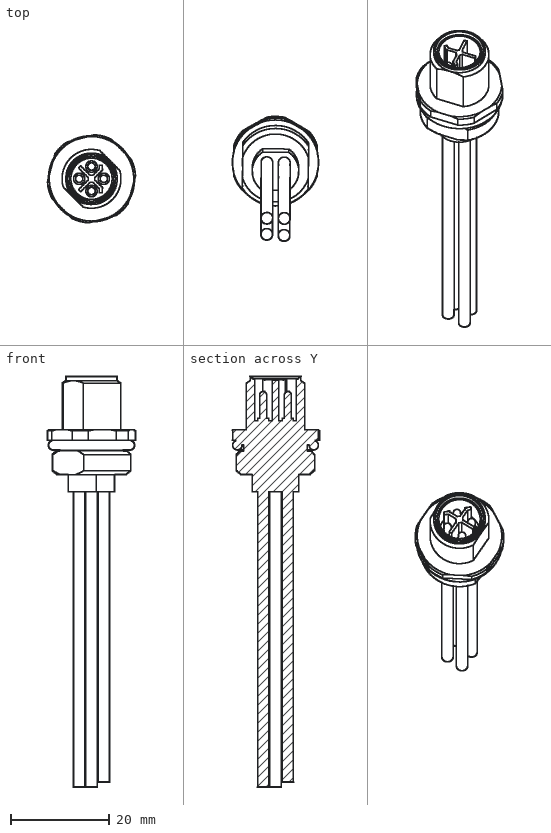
import cadquery as cq
import math


flat_direction = 45.0
holder_flat_direction = -45.0

top_z = 13.0
body_radius = 6.0
body_flat_distance = 5.25
collar_radius = 5.24
collar_height = 0.85
shoulder_height = 0.5

flange_thickness = 2.2
flange_across_flats = 17.0
flange_radius = 9.0
flange_top_radius = 8.6
flange_chamfer_height = 0.3
flange_sides = 6

ring_section_radius = 1.0
ring_outer_radius = 8.79
neck_radius = 6.5

nut_top_z = -2.15
nut_bottom_z = -6.97
nut_radius = 8.04
nut_flat_distance = 6.7
nut_top_chamfer = 0.78
nut_bottom_chamfer_height = 0.8
nut_bottom_chamfer_width = 1.0

holder_bottom_z = -10.5
holder_radius = 4.75
holder_flat_distance = 3.95

contact_count = 4
contact_pitch_radius = 2.5
wire_radius = 1.2
wire_end_z = -70.6
short_wire_cutback = 1.0
pin_radius = 0.75
pin_tip_depth = 3.0
pin_foot_radius = 1.15
pin_foot_height = 0.5

cavity_radius = 4.2
cavity_mouth_radius = 4.9
cavity_mouth_depth = 0.5
cavity_ledge_radius = 4.55
cavity_depth = 9.0
cross_top_depth = 0.7
cross_reach = 2.2
cross_bend = 1.9
cross_bent_reach = 2.5
cross_thickness = 0.6
cross_core_side = 1.4

cavity_floor_z = top_z - cavity_depth
OVERLAP = 0.5
cross_height = cavity_depth + OVERLAP - cross_top_depth


def revolve_profile(points):
    """Solid of revolution about Z from (radius, z) points."""
    return cq.Workplane("XZ").polyline(points).close().revolve(360, (0, 0), (0, 1))


def cylinder(radius, z_low, z_high, x=0, y=0):
    return cq.Workplane("XY", origin=(x, y, z_low)).circle(radius).extrude(z_high - z_low)


def double_flat_prism(distance, length, z_low, z_high, direction):
    """Bar bounded by two parallel planes whose normal lies at `direction` degrees."""
    bar = cq.Workplane("XY", origin=(0, 0, z_low)).rect(2 * distance, length)
    return bar.extrude(z_high - z_low).rotate((0, 0, 0), (0, 0, 1), direction)


def contact_positions():
    for index in range(contact_count):
        angle = 2 * math.pi * index / contact_count
        yield contact_pitch_radius * math.cos(angle), contact_pitch_radius * math.sin(angle)


def make_body():
    shoulder_top = top_z - collar_height
    turned = revolve_profile([
        (0, 0),
        (body_radius, 0),
        (body_radius, shoulder_top - shoulder_height),
        (collar_radius, shoulder_top),
        (collar_radius, top_z),
        (0, top_z),
    ])
    flats = double_flat_prism(body_flat_distance, 4 * body_radius, 0, top_z, flat_direction)
    return turned.intersect(flats)


def make_flange():
    turned = revolve_profile([
        (0, 0),
        (flange_radius, 0),
        (flange_radius, flange_thickness - flange_chamfer_height),
        (flange_top_radius, flange_thickness),
        (0, flange_thickness),
    ])
    half_side_angle = 180 / flange_sides
    corner_diameter = flange_across_flats / math.cos(math.radians(half_side_angle))
    hexagon = cq.Workplane("XY").polygon(flange_sides, corner_diameter).extrude(flange_thickness)
    hexagon = hexagon.rotate((0, 0, 0), (0, 0, 1), flat_direction - half_side_angle)
    return turned.intersect(hexagon)


def make_seal():
    ring_centre_radius = ring_outer_radius - ring_section_radius
    ring = (
        cq.Workplane("XZ")
        .center(ring_centre_radius, -ring_section_radius)
        .circle(ring_section_radius)
        .revolve(360, (-ring_centre_radius, 0), (-ring_centre_radius, 1))
    )
    backing = cylinder(ring_centre_radius, -ring_section_radius, OVERLAP)
    neck = cylinder(neck_radius, nut_top_z - OVERLAP, OVERLAP)
    return neck.union(backing).union(ring)


def make_nut():
    turned = revolve_profile([
        (0, nut_bottom_z),
        (nut_radius - nut_bottom_chamfer_width, nut_bottom_z),
        (nut_radius, nut_bottom_z + nut_bottom_chamfer_height),
        (nut_radius, nut_top_z - nut_top_chamfer),
        (nut_radius - nut_top_chamfer, nut_top_z),
        (0, nut_top_z),
    ])
    flats = double_flat_prism(
        nut_flat_distance, 4 * nut_radius, nut_bottom_z, nut_top_z, flat_direction
    )
    return turned.intersect(flats)


def make_wire_holder():
    holder_top = nut_bottom_z + OVERLAP
    flats = double_flat_prism(
        holder_flat_distance, 4 * holder_radius, holder_bottom_z, holder_top, holder_flat_direction
    )
    return cylinder(holder_radius, holder_bottom_z, holder_top).intersect(flats)


def add_wires(solid):
    for x, y in contact_positions():
        on_plus_x_side = x > contact_pitch_radius / 2
        end_z = wire_end_z + short_wire_cutback if on_plus_x_side else wire_end_z
        solid = solid.union(cylinder(wire_radius, end_z, holder_bottom_z + OVERLAP, x, y))
    return solid


def cut_cavity(solid):
    mouth_z = top_z - cavity_mouth_depth
    cavity = revolve_profile([
        (0, cavity_floor_z),
        (cavity_radius, cavity_floor_z),
        (cavity_radius, mouth_z),
        (cavity_ledge_radius, mouth_z),
        (cavity_mouth_radius, top_z),
        (0, top_z),
    ])
    return solid.cut(cavity)


def add_pins(solid):
    base_z = cavity_floor_z - OVERLAP
    tip_z = top_z - pin_tip_depth
    for x, y in contact_positions():
        shank = cylinder(pin_radius, base_z, tip_z - pin_radius, x, y)
        tip = cq.Workplane("XY", origin=(x, y, tip_z - pin_radius)).sphere(pin_radius)
        foot = cylinder(pin_foot_radius, base_z, cavity_floor_z + pin_foot_height, x, y)
        solid = solid.union(shank).union(tip).union(foot)
    return solid


def cross_wall(start, end):
    """Upright wall between two plan points, running half its thickness past each."""
    run_x = end[0] - start[0]
    run_y = end[1] - start[1]
    length = math.hypot(run_x, run_y) + cross_thickness
    middle = ((start[0] + end[0]) / 2, (start[1] + end[1]) / 2, cavity_floor_z - OVERLAP)
    wall = cq.Workplane("XY").rect(length, cross_thickness).extrude(cross_height)
    direction = math.degrees(math.atan2(run_y, run_x))
    return wall.rotate((0, 0, 0), (0, 0, 1), direction).translate(middle)


def add_cross(solid):
    core = cq.Workplane("XY", origin=(0, 0, cavity_floor_z - OVERLAP))
    solid = solid.union(core.rect(cross_core_side, cross_core_side).extrude(cross_height))
    centre = (0, 0)
    for side in (1, -1):
        straight_end = (-cross_reach, side * cross_reach)
        bend = (cross_bend, side * cross_bend)
        bent_end = (cross_bend, side * cross_bent_reach)
        solid = solid.union(cross_wall(centre, straight_end))
        solid = solid.union(cross_wall(centre, bend))
        solid = solid.union(cross_wall(bend, bent_end))
    return solid


result = make_body()
for section in (make_flange(), make_seal(), make_nut(), make_wire_holder()):
    result = result.union(section)
result = add_wires(result)
result = cut_cavity(result)
result = add_pins(result)
result = add_cross(result)